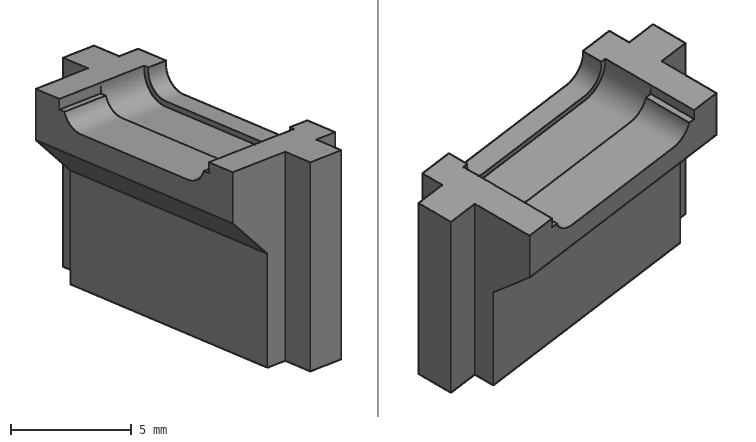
import cadquery as cq

total_length = 14.8
total_depth = 5.9
height = 9.5
body_length = 11.8

stem_depth = 3.9
lip_height = 2.32
lip_overhang = total_depth - stem_depth

flange_thickness = 1.79
flange_setback = 1.1

floor_length = 6.38
saddle_radius = 1.04
round_center_drop = 0.16

groove_radius = 1.29
groove_setback = 1.02
groove_width = 2.5

step_depth = 0.49
step_length = floor_length + 2 * groove_radius


def make_body():
    lip_bottom = height - lip_height
    slope_bottom = lip_bottom - lip_overhang
    side_profile = [
        (0, 0),
        (0, height),
        (-total_depth, height),
        (-total_depth, lip_bottom),
        (-stem_depth, slope_bottom),
        (-stem_depth, 0),
    ]
    return cq.Workplane("YZ").polyline(side_profile).close().extrude(body_length / 2, both=True)


def make_block(length, y_back, depth, z_bottom):
    """Block centered on x, reaching up to the top face."""
    return cq.Workplane("XY").box(length, depth, height - z_bottom, centered=(True, False, False)).translate(
        (0, y_back - depth, z_bottom)
    )


def make_saddle(radius, y_back, depth):
    """Trough with rounded lower corners, cut forward from y_back."""
    half_floor = floor_length / 2
    half_opening = half_floor + radius
    center_z = height - round_center_drop
    floor_z = center_z - radius
    return (
        cq.Workplane("XZ", origin=(0, y_back, 0))
        .moveTo(-half_opening, height)
        .lineTo(-half_opening, center_z)
        .radiusArc((-half_floor, floor_z), -radius)
        .lineTo(half_floor, floor_z)
        .radiusArc((half_opening, center_z), -radius)
        .lineTo(half_opening, height)
        .close()
        .extrude(depth)
    )


groove_front = -groove_setback - groove_width
front_ledge_depth = total_depth + groove_front

flange = make_block(total_length, -flange_setback, flange_thickness, 0)
saddle = make_saddle(saddle_radius, 0, total_depth)
groove = make_saddle(groove_radius, -groove_setback, groove_width)
front_steps = make_block(step_length, groove_front, front_ledge_depth, height - step_depth)

result = make_body().union(flange).cut(saddle).cut(groove).cut(front_steps)